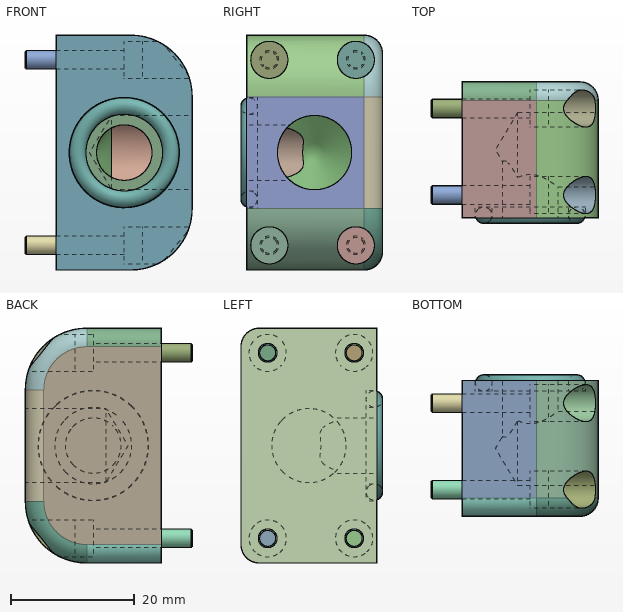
import cadquery as cq
import math

block_height = 38.0
block_width = 22.0
block_depth = 22.0
corner_radius = 10.0
edge_radius = 3.0

port_center_x = block_width / 2
ring_bore_radius = 6.2
ring_section_radius = 1.33
ring_protrusion = 0.9
groove_clearance = 0.08
ring_center_radius = ring_bore_radius + ring_section_radius
groove_outer_radius = ring_bore_radius + 2 * ring_section_radius + groove_clearance
groove_depth = 2 * ring_section_radius - ring_protrusion

port_radius = 4.5
passage_radius = 6.0
passage_center_y = block_depth / 2
passage_end_x = 8.95
drill_point_angle = 118.0

screw_radius = 1.52
screw_chamfer = 0.23
screw_protrusion = 5.0
screw_first_y = 3.7
screw_spacing_y = 14.0
screw_spacing_z = 30.0
head_radius = 3.0
head_height = 3.0
head_seat_x = 11.0
screw_places = [
    (screw_first_y + step * screw_spacing_y, side * screw_spacing_z / 2)
    for step in (0, 1)
    for side in (-1, 1)
]


def cylinder_along_x(radius, start_x, end_x, y, z):
    """Cylinder parallel to X between two X positions."""
    return cq.Workplane("YZ", origin=(start_x, y, z)).circle(radius).extrude(end_x - start_x)


def cylinder_into_face(radius, depth):
    """Cylinder on the port axis, going into the block from the sealing face."""
    return cq.Workplane("XZ", origin=(port_center_x, 0, 0)).circle(radius).extrude(-depth)


def make_block():
    """Block with two large corners, rounded along the back edge of its outer faces."""
    block = cq.Workplane("XY").box(block_width, block_depth, block_height, centered=(False, False, True))
    block = block.edges("|Y and >X").fillet(corner_radius)
    back_outline = block.faces(">Y").edges("not <X")
    return back_outline.fillet(edge_radius)


def make_passage():
    """Blind drilled passage along X that ends in a drill point."""
    point_length = passage_radius / math.tan(math.radians(drill_point_angle / 2))
    return (
        cq.Workplane("XY", origin=(0, passage_center_y, 0))
        .moveTo(passage_end_x - point_length, 0)
        .lineTo(passage_end_x, passage_radius)
        .lineTo(block_width, passage_radius)
        .lineTo(block_width, 0)
        .close()
        .revolve(360, (0, 0, 0), (1, 0, 0))
    )


def make_groove():
    """Annular groove around the port."""
    return cylinder_into_face(groove_outer_radius, groove_depth).cut(
        cylinder_into_face(ring_bore_radius, groove_depth)
    )


def make_housing():
    """Block with the port, the passage, the O-ring groove and the counterbored screw holes."""
    housing = make_block()
    housing = housing.cut(cylinder_into_face(port_radius, passage_center_y))
    housing = housing.cut(make_passage())
    housing = housing.cut(make_groove())
    for y, z in screw_places:
        housing = housing.cut(cylinder_along_x(screw_radius, 0, head_seat_x, y, z))
        housing = housing.cut(cylinder_along_x(head_radius, head_seat_x, block_width, y, z))
    return housing


def make_o_ring():
    """O-ring resting on the groove floor and standing proud of the sealing face."""
    section_center_y = ring_section_radius - ring_protrusion
    ring = cq.Solid.makeTorus(
        ring_center_radius,
        ring_section_radius,
        cq.Vector(port_center_x, section_center_y, 0),
        cq.Vector(0, 1, 0),
    )
    return cq.Workplane(ring)


def make_screw(y, z):
    """Screw with a cylindrical head in its counterbore and a chamfered tip."""
    shank = cylinder_along_x(screw_radius, -screw_protrusion, head_seat_x, y, z)
    shank = shank.faces("<X").chamfer(screw_chamfer)
    head = cylinder_along_x(head_radius, head_seat_x, head_seat_x + head_height, y, z)
    return shank.union(head)


housing = make_housing()
o_ring = make_o_ring()
screws = [make_screw(y, z) for y, z in screw_places]

result = cq.Compound.makeCompound([housing.val(), o_ring.val(), *[screw.val() for screw in screws]])